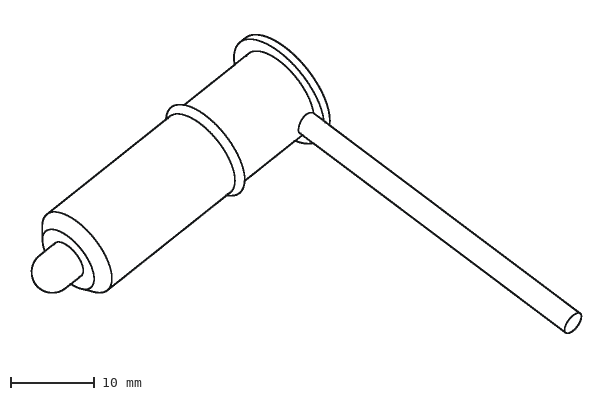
import cadquery as cq
import math

flange_diameter = 15.0
flange_thickness = 1.0
body_diameter = 11.6
body_length = 37.05
nose_chamfer = 1.5

barb_diameter = 13.1
barb_shoulder_position = 13.6
barb_length = 0.9

plunger_diameter = 5.0
overall_length = 42.26

wire_diameter = 2.9
wire_offset_from_back = 2.2
wire_end_x = 50.0


def make_turned_body():
    """Revolve flange, barrel, barb, nose chamfer and plunger about the Y axis."""
    flange_radius = flange_diameter / 2
    body_radius = body_diameter / 2
    barb_radius = barb_diameter / 2
    plunger_radius = plunger_diameter / 2
    tip_center_y = plunger_radius - overall_length
    arc_offset = plunger_radius * math.sqrt(0.5)

    profile = (
        cq.Workplane("XY")
        .moveTo(0, 0)
        .lineTo(flange_radius, 0)
        .lineTo(flange_radius, -flange_thickness)
        .lineTo(body_radius, -flange_thickness)
        .lineTo(body_radius, -barb_shoulder_position)
        .lineTo(barb_radius, -barb_shoulder_position)
        .lineTo(body_radius, -barb_shoulder_position - barb_length)
        .lineTo(body_radius, nose_chamfer - body_length)
        .lineTo(body_radius - nose_chamfer, -body_length)
        .lineTo(plunger_radius, -body_length)
        .lineTo(plunger_radius, tip_center_y)
        .threePointArc((arc_offset, tip_center_y - arc_offset), (0, -overall_length))
        .close()
    )
    return profile.revolve(360, (0, 0, 0), (0, 1, 0))


def make_wire():
    """Round wire running from the body axis out to its free end."""
    return (
        cq.Workplane("YZ")
        .center(-wire_offset_from_back, 0)
        .circle(wire_diameter / 2)
        .extrude(wire_end_x)
    )


result = make_turned_body().union(make_wire())